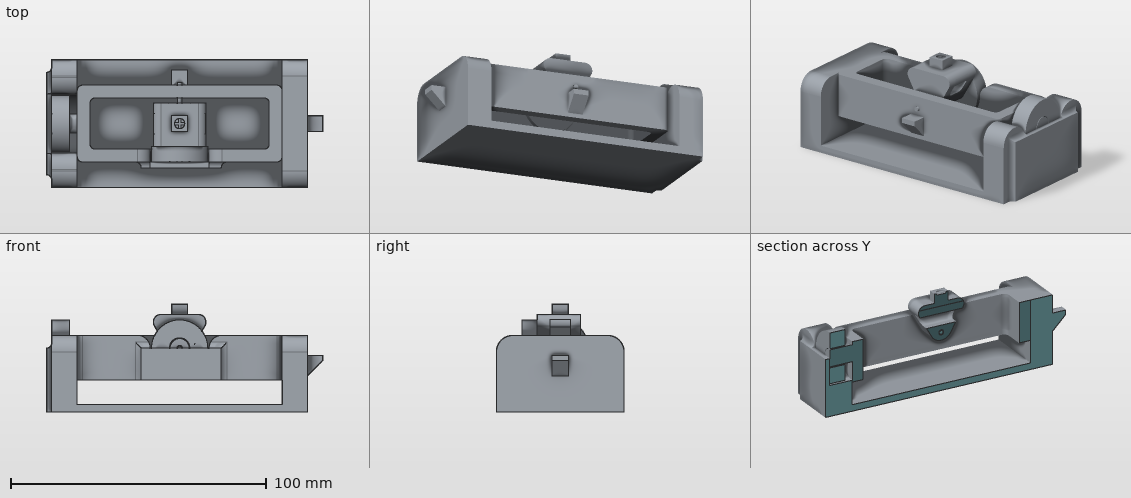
import cadquery as cq
import math

AXIS_HEIGHT = 25.0
TOP_HEIGHT = 30.0

BASE_LENGTH = 100.0
BASE_WIDTH = 50.0
FLOOR_THICKNESS = 3.0
WALL_THICKNESS = 10.0
WALL_ROUND = 6.5
BASE_RIM_ROUND = 6.5

FRAME_LENGTH = BASE_LENGTH - 2 * WALL_THICKNESS
FRAME_WIDTH = 30.0
FRAME_WALL = 5.0
FRAME_BOTTOM = 12.5
FRAME_CORNER_ROUND = 2.0
FRAME_RIM_ROUND = 5.0

WHEEL_DIAMETER = 22.0
WHEEL_BORE = 8.0
SHAFT_DIAMETER = 7.5
SLOT_RADIUS = WHEEL_DIAMETER / 2 + 0.5
BASE_WHEEL_WIDTH = 7.0
FRAME_WHEEL_WIDTH = 6.0

BASE_COVER_THICKNESS = 2.0
FRAME_COVER_THICKNESS = 2.3
BASE_COVER_WIDTH = 40.0
FRAME_COVER_WIDTH = 31.25
FRAME_COVER_SHIFT = 0.625

CATCH_LENGTH = 6.0
CATCH_WIDTH = 6.3
CATCH_HEIGHT = 8.0
CATCH_TIP = 2.0
CATCH_TOP = 22.18

HEAD_TOP = 38.18
HEAD_SIDE = 25.0
HEAD_ROUND = 3.0
HEAD_POINT_ROUND = 5.0
HEAD_BACK = 8.0
HEAD_FRONT = FRAME_WHEEL_WIDTH - FRAME_WIDTH / 2

STUD_HEIGHT = 4.0
STUD_HOLE_DIAMETER = 4.0
STUD_HOLE_DEPTH = 0.5
CROSS_WIDTH = 1.0
CROSS_DEPTH = 0.2

WINDOW_SIZE = 8.0
WINDOW_ROOF = 2.0
WINDOW_ROUND = 2.0
BAR_THICKNESS = 3.0

PIN_DIAMETER = 1.75
PIN_HOLE_DIAMETER = 2.0
PIN_OVERHANG = 1.0
PIN_RECESS = 1.0

BASE_FRONT_X = -BASE_LENGTH / 2
FRAME_FRONT_Y = -FRAME_WIDTH / 2


def box(x_range, y_range, z_range):
    """Axis-aligned box between the given limits."""
    low, high = zip(x_range, y_range, z_range)
    size = [b - a for a, b in zip(low, high)]
    return cq.Workplane("XY").box(*size, centered=False).translate(low)


def facing_x(shape):
    """Turn a shape modelled along Y to lie along X: -Y becomes -X and +Y becomes +X."""
    return shape.rotate((0, 0, 0), (0, 0, 1), -90)


def y_cylinder(diameter, y_start, y_end, height=AXIS_HEIGHT):
    """Cylinder along Y through X = 0 at the given height."""
    plane = cq.Workplane("XZ", origin=(0, y_start, height))
    return plane.circle(diameter / 2).extrude(y_start - y_end)


def wheel_slot(rim_round, y_start, y_end):
    """Cutter along Y: round-bottomed slot whose mouth flares out to the top face."""
    rim_z = TOP_HEIGHT - rim_round
    rise = rim_z - AXIS_HEIGHT
    rim_x = math.sqrt((SLOT_RADIUS + rim_round) ** 2 - rise ** 2)
    mouth = box((-rim_x, rim_x), (y_start, y_end), (min(AXIS_HEIGHT, rim_z), TOP_HEIGHT))
    for side in (-rim_x, rim_x):
        mouth = mouth.cut(y_cylinder(2 * rim_round, y_start, y_end, rim_z).translate((side, 0, 0)))
    return mouth.union(y_cylinder(2 * SLOT_RADIUS, y_start, y_end))


def cover(width, thickness, bottom, y_face):
    """Plate on a wall facing -Y, up to the swivel axis, with concave flares at its sides and top."""
    half = width / 2 + thickness
    top = AXIS_HEIGHT + thickness
    y_outer = y_face - thickness
    plate = box((-half, half), (y_outer, y_face), (bottom, top))
    for side in (-half, half):
        side_flare = cq.Workplane("XY", origin=(side, y_outer, bottom)).circle(thickness)
        plate = plate.cut(side_flare.extrude(top - bottom))
    top_flare = cq.Workplane("YZ", origin=(-half, y_outer, top)).circle(thickness)
    return plate.cut(top_flare.extrude(2 * half))


def cover_notch(rim_round, thickness, y_face):
    """Continuation of the wheel slot through the top flare of a cover."""
    y_outer = y_face - thickness
    above_axis = box((-BASE_WIDTH, BASE_WIDTH), (y_outer, y_face), (AXIS_HEIGHT, TOP_HEIGHT))
    return wheel_slot(rim_round, y_outer, y_face).intersect(above_axis)


def catch(y_face):
    """Snap nose pointing along +Y, flat on top and sloped at 45 degrees below."""
    low = CATCH_TOP - CATCH_HEIGHT
    profile = [
        (y_face, low),
        (y_face + CATCH_LENGTH, CATCH_TOP - CATCH_TIP),
        (y_face + CATCH_LENGTH, CATCH_TOP),
        (y_face, CATCH_TOP),
    ]
    plane = cq.Workplane("YZ", origin=(-CATCH_WIDTH / 2, 0, 0))
    return plane.polyline(profile).close().extrude(CATCH_WIDTH)


def make_base():
    """Floor with two end walls; the -X wall holds the wheel slot and its cover, +X the catch."""
    half_length = BASE_LENGTH / 2
    half_width = BASE_WIDTH / 2
    base = box((-half_length, half_length), (-half_width, half_width), (0, TOP_HEIGHT))
    base = base.edges("|X and >Z").fillet(WALL_ROUND)
    half_gap = FRAME_LENGTH / 2
    base = base.cut(box((-half_gap, half_gap), (-half_width, half_width), (FLOOR_THICKNESS, TOP_HEIGHT)))
    base = base.union(facing_x(cover(BASE_COVER_WIDTH, BASE_COVER_THICKNESS, 0, -half_length)))
    slot = wheel_slot(BASE_RIM_ROUND, -half_length, -half_gap)
    notch = cover_notch(BASE_RIM_ROUND, BASE_COVER_THICKNESS, -half_length)
    base = base.cut(facing_x(slot)).cut(facing_x(notch))
    return base.union(facing_x(catch(half_length)))


def make_frame():
    """Rectangular ring with a slotted -Y wall and a shaft toward -X."""
    half_length = FRAME_LENGTH / 2
    half_width = FRAME_WIDTH / 2
    inner_x = half_length - FRAME_WALL
    inner_y = half_width - FRAME_WALL
    z_range = (FRAME_BOTTOM, TOP_HEIGHT)
    frame = box((-half_length, half_length), (-half_width, half_width), z_range)
    pocket = box((-inner_x, inner_x), (-inner_y, inner_y), z_range)
    frame = frame.edges("|Z").fillet(FRAME_CORNER_ROUND)
    frame = frame.cut(pocket.edges("|Z").fillet(FRAME_CORNER_ROUND))
    frame_cover = cover(FRAME_COVER_WIDTH, FRAME_COVER_THICKNESS, FRAME_BOTTOM, FRAME_FRONT_Y)
    frame = frame.union(frame_cover.translate((FRAME_COVER_SHIFT, 0, 0)))
    frame = frame.cut(wheel_slot(FRAME_RIM_ROUND, FRAME_FRONT_Y, -inner_y))
    frame = frame.cut(cover_notch(FRAME_RIM_ROUND, FRAME_COVER_THICKNESS, FRAME_FRONT_Y))
    frame = frame.union(facing_x(y_cylinder(SHAFT_DIAMETER, BASE_FRONT_X, -half_length)))
    frame = frame.union(catch(half_width))
    return frame.cut(y_cylinder(PIN_HOLE_DIAMETER, inner_y, half_width))


def make_wheel(y_start, width):
    """Plain wheel with its axis along Y."""
    y_end = y_start + width
    return y_cylinder(WHEEL_DIAMETER, y_start, y_end).cut(y_cylinder(WHEEL_BORE, y_start, y_end))


def head_prism():
    """Triangular prism along Y, point down, with rounded corners."""
    apex_z = HEAD_TOP - HEAD_SIDE * math.sqrt(3) / 2
    corners = [(-HEAD_SIDE / 2, HEAD_TOP), (HEAD_SIDE / 2, HEAD_TOP), (0, apex_z)]
    prism = cq.Workplane("XZ", origin=(0, HEAD_BACK, 0)).polyline(corners).close()
    prism = prism.extrude(HEAD_BACK - HEAD_FRONT)
    prism = prism.edges("|Y and >Z").fillet(HEAD_ROUND)
    return prism.edges("|Y and <Z").fillet(HEAD_POINT_ROUND)


def make_bar():
    """Bar across the top of the window, with its ends flush with the head."""
    top = HEAD_TOP - WINDOW_ROOF
    half = WINDOW_SIZE / 2
    bar = box((-HEAD_SIDE / 2, HEAD_SIDE / 2), (-half, half), (top - BAR_THICKNESS, top))
    return bar.intersect(head_prism())


def stud_cross(top):
    """Cross-shaped cutter that spans the stud hole below the given height."""
    plane = cq.Workplane("XY", origin=(0, 0, top))
    reach = plane.circle(STUD_HOLE_DIAMETER / 2).extrude(-CROSS_DEPTH)
    cross = plane.rect(STUD_HOLE_DIAMETER, CROSS_WIDTH).extrude(-CROSS_DEPTH)
    cross = cross.union(plane.rect(CROSS_WIDTH, STUD_HOLE_DIAMETER).extrude(-CROSS_DEPTH))
    return cross.intersect(reach)


def make_head():
    """Swinging head with window, stud and shaft toward -Y."""
    top = HEAD_TOP - WINDOW_ROOF
    half = WINDOW_SIZE / 2
    window = box((-HEAD_SIDE / 2, HEAD_SIDE / 2), (-half, half), (top - WINDOW_SIZE, top))
    window = window.edges("|X and <Z").fillet(WINDOW_ROUND)
    head = head_prism().cut(window)
    half_stud = CATCH_WIDTH / 2
    stud_top = HEAD_TOP + STUD_HEIGHT
    stud = box((-half_stud, half_stud), (-half_stud, half_stud), (HEAD_TOP, stud_top))
    stud_face = cq.Workplane("XY", origin=(0, 0, stud_top))
    hole = stud_face.circle(STUD_HOLE_DIAMETER / 2).extrude(-STUD_HOLE_DEPTH)
    head = head.union(stud).cut(hole).cut(stud_cross(stud_top - STUD_HOLE_DEPTH))
    head = head.union(y_cylinder(SHAFT_DIAMETER, FRAME_FRONT_Y, HEAD_FRONT))
    return head.cut(y_cylinder(PIN_HOLE_DIAMETER, FRAME_FRONT_Y, HEAD_BACK))


base = make_base()
frame = make_frame()
head = make_head()
base_wheel = facing_x(make_wheel(BASE_FRONT_X, BASE_WHEEL_WIDTH))
frame_wheel = make_wheel(FRAME_FRONT_Y, FRAME_WHEEL_WIDTH)
bar = make_bar()
pin = y_cylinder(PIN_DIAMETER, FRAME_FRONT_Y + PIN_RECESS, FRAME_WIDTH / 2 + PIN_OVERHANG)

bodies = [base, frame, head, base_wheel, frame_wheel, bar, pin]
result = cq.Compound.makeCompound([body.solids().val() for body in bodies])